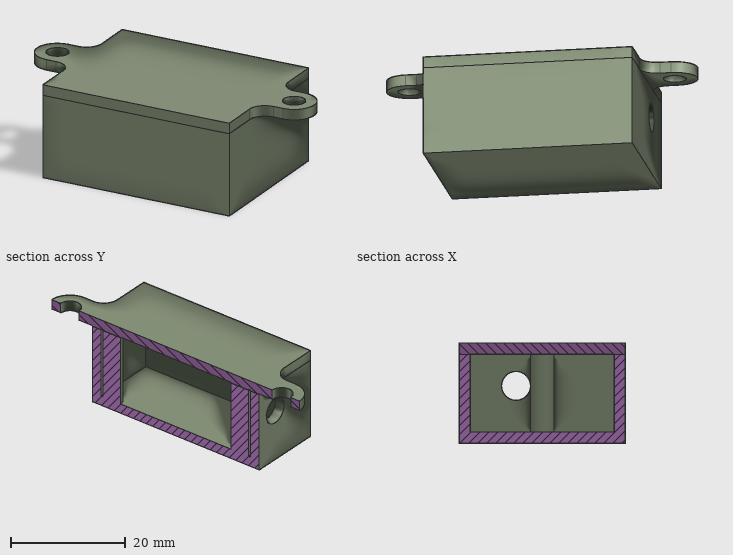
import cadquery as cq

OVERALL_LENGTH = 55.0
BOX_LENGTH = 37.0
BOX_WIDTH = 29.0
TOTAL_HEIGHT = 17.5

LID_THICKNESS = 2.0
EAR_RADIUS = 4.0
EAR_HOLE_DIAMETER = 4.0
EAR_FILLET_RADIUS = 3.0

WALL = 2.0
BOX_HEIGHT = TOTAL_HEIGHT - LID_THICKNESS

POST_DIAMETER = 4.0
POST_X = 14.25

CABLE_HOLE_DIAMETER = 5.0
CABLE_HOLE_Y = -4.55
CABLE_HOLE_DROP = 5.5
CABLE_HOLE_Z = BOX_HEIGHT - CABLE_HOLE_DROP

EAR_X = OVERALL_LENGTH / 2 - EAR_RADIUS


def make_housing():
    """Open-topped box with two inner posts and a cable hole through one end wall."""
    box = cq.Workplane("XY").box(BOX_LENGTH, BOX_WIDTH, BOX_HEIGHT, centered=(True, True, False))
    cavity = (
        cq.Workplane("XY", origin=(0, 0, WALL))
        .rect(BOX_LENGTH - 2 * WALL, BOX_WIDTH - 2 * WALL)
        .extrude(BOX_HEIGHT - WALL)
    )
    cable_hole = (
        cq.Workplane("YZ", origin=(-BOX_LENGTH / 2, CABLE_HOLE_Y, CABLE_HOLE_Z))
        .circle(CABLE_HOLE_DIAMETER / 2)
        .extrude(WALL)
    )
    posts = (
        cq.Workplane("XY")
        .pushPoints([(-POST_X, 0), (POST_X, 0)])
        .circle(POST_DIAMETER / 2)
        .extrude(BOX_HEIGHT)
    )
    return box.cut(cavity).cut(cable_hole).union(posts)


def make_lid():
    """Flat lid with a rounded, drilled mounting ear at each end."""
    base = cq.Workplane("XY", origin=(0, 0, BOX_HEIGHT))
    plate = base.rect(BOX_LENGTH, BOX_WIDTH).extrude(LID_THICKNESS)
    ears = base.slot2D(OVERALL_LENGTH, 2 * EAR_RADIUS).extrude(LID_THICKNESS)
    inner_corners = cq.selectors.BoxSelector(
        (-EAR_X + EAR_RADIUS / 2, -BOX_WIDTH / 4, BOX_HEIGHT),
        (EAR_X - EAR_RADIUS / 2, BOX_WIDTH / 4, TOTAL_HEIGHT),
    )
    outline = plate.union(ears).edges("|Z").edges(inner_corners).fillet(EAR_FILLET_RADIUS)
    ear_holes = (
        base.pushPoints([(-EAR_X, 0), (EAR_X, 0)])
        .circle(EAR_HOLE_DIAMETER / 2)
        .extrude(LID_THICKNESS)
    )
    return outline.cut(ear_holes)


housing = make_housing()
lid = make_lid()

result = cq.Compound.makeCompound([housing.val(), lid.val()])